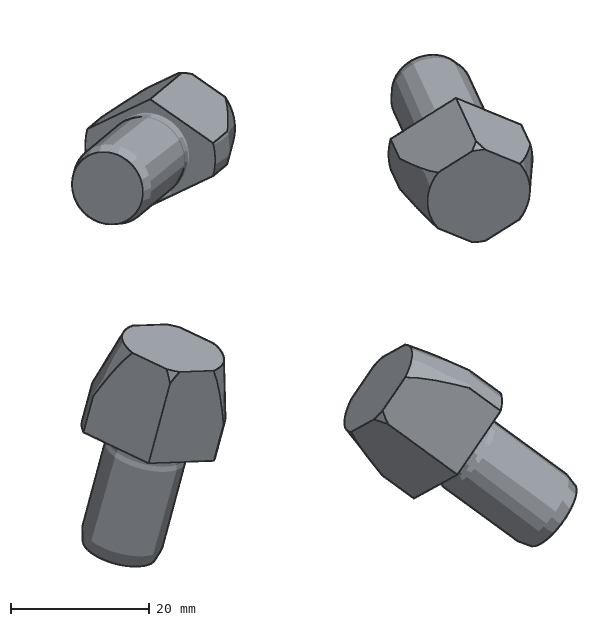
import cadquery as cq
import math


head_length = 15.0
head_diameter = 20.0
head_height = 16.18
flank_slope = math.radians(30)
head_straight_length = 6.0
head_taper = math.radians(15)

shank_length = 18.0
shank_diameter = 12.0
tip_length = 2.0
tip_taper = math.radians(15)

neck_diameter = 11.6
neck_end = 2.1
neck_taper = math.radians(15)
undercut_diameter = 13.6
undercut_slope = math.radians(8)
undercut_depth = 0.1
undercut_fillet = 0.2

head_radius = head_diameter / 2
shank_radius = shank_diameter / 2
neck_radius = neck_diameter / 2
undercut_rim_radius = undercut_diameter / 2


def revolve_about_y(profile):
    """Turn a closed half profile, drawn in XY, around the Y axis."""
    return profile.revolve(360, (0, 0, 0), (0, 1, 0))


def make_head():
    """Diamond prism limited to a cylinder that tapers towards the far end."""
    half_height = head_height / 2
    half_width = half_height / math.tan(flank_slope)
    diamond = (
        cq.Workplane("XZ")
        .polyline([(half_width, 0), (0, half_height), (-half_width, 0), (0, -half_height)])
        .close()
        .extrude(-head_length)
    )
    end_radius = head_radius - (head_length - head_straight_length) * math.tan(head_taper)
    half_profile = (
        cq.Workplane("XY")
        .lineTo(head_radius, 0)
        .lineTo(head_radius, head_straight_length)
        .lineTo(end_radius, head_length)
        .lineTo(0, head_length)
        .close()
    )
    return diamond.intersect(revolve_about_y(half_profile))


def make_undercut():
    """Shallow recess in the shoulder: conical side and flat bottom, to be cut from the head."""
    bottom_radius = undercut_rim_radius - undercut_depth / math.tan(undercut_slope)
    half_profile = (
        cq.Workplane("XY")
        .lineTo(undercut_rim_radius, 0)
        .lineTo(bottom_radius, undercut_depth)
        .lineTo(0, undercut_depth)
        .close()
    )
    return revolve_about_y(half_profile)


def make_shank():
    """Shank with tapered tip and relief neck, filleted into the flat bottom of the undercut."""
    tip_radius = shank_radius - tip_length * math.tan(tip_taper)
    neck_taper_length = (shank_radius - neck_radius) / math.tan(neck_taper)
    half_profile = (
        cq.Workplane("XY")
        .moveTo(0, undercut_depth)
        .lineTo(neck_radius + undercut_fillet, undercut_depth)
        .radiusArc((neck_radius, undercut_depth - undercut_fillet), -undercut_fillet)
        .lineTo(neck_radius, neck_taper_length - neck_end)
        .lineTo(shank_radius, -neck_end)
        .lineTo(shank_radius, tip_length - shank_length)
        .lineTo(tip_radius, -shank_length)
        .lineTo(0, -shank_length)
        .close()
    )
    return revolve_about_y(half_profile)


result = make_head().cut(make_undercut()).union(make_shank())